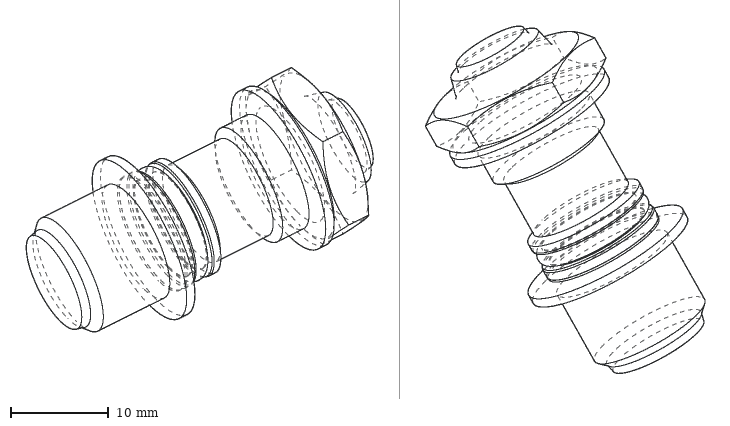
import cadquery as cq
import math

LENGTH = 36.1

BARREL_R = 6.5
FRONT_BARREL_R = 6.45
SHAFT_R = 5.52
TIP_R = 5.3
TIP_END_Y = 0.95
BARREL_START_Y = 1.88
FRONT_BARREL_END_Y = 12.0
COLLAR_CHAMFER_LENGTH = 0.55
FRONT_COLLAR_END_Y = 16.6
REAR_COLLAR_START_Y = 23.0

RING_Y = 14.1
RING_OUTER_R = 6.43
RING_SECTION_R = 0.83
GROOVE_WIDTH = 1.9
GROOVE_LIP = 0.2
GROOVE_LIP_DROP = 0.07

WASHER_R = 9.03
WASHER_HUB_R = 6.57
WASHER_RIM_WIDTH = 1.0
WASHER_HUB_WIDTH = 1.85
FRONT_WASHER_Y = 10.85

NUT_CORNER_WIDTH = 19.68
NUT_HEIGHT = 4.08
NUT_START_Y = 28.55
NUT_FACE_R = 8.4
NUT_CHAMFER_ANGLE = 30.0

REAR_WASHER_Y = NUT_START_Y - WASHER_HUB_WIDTH / 2

NECK_FILLET_R = 0.72
CAP_BASE_R = 5.52
CAP_SHOULDER_R = 5.1
CAP_SHOULDER_Y = 35.15
CROWN_FILLET_R = 0.25
CROWN_BASE_R = 4.1
CROWN_TOP_R = 3.95


def revolve_about_y(profile):
    """Turn a closed outline of (radius, y) points around the Y axis."""
    return profile.close().revolve(360, (0, 0, 0), (0, 1, 0))


def concave_arc(profile, end, radius):
    """Draw a quarter-round hollow inward from a flat face to the point end."""
    end_r, end_y = end
    middle_offset = radius * (1 - math.sqrt(0.5))
    middle = (end_r + middle_offset, end_y - radius + middle_offset)
    return profile.threePointArc(middle, end)


def make_body():
    groove_start = RING_Y - GROOVE_WIDTH / 2
    groove_end = RING_Y + GROOVE_WIDTH / 2
    lip_r = BARREL_R - GROOVE_LIP_DROP
    nut_end = NUT_START_Y + NUT_HEIGHT
    profile = (
        cq.Workplane("XY")
        .moveTo(0, 0)
        .lineTo(TIP_R, 0)
        .lineTo(SHAFT_R, TIP_END_Y)
        .lineTo(FRONT_BARREL_R, BARREL_START_Y)
        .lineTo(FRONT_BARREL_R, FRONT_BARREL_END_Y)
        .lineTo(BARREL_R, FRONT_BARREL_END_Y)
        .lineTo(BARREL_R, groove_start - GROOVE_LIP)
        .lineTo(lip_r, groove_start)
        .lineTo(SHAFT_R, groove_start)
        .lineTo(SHAFT_R, groove_end)
        .lineTo(lip_r, groove_end)
        .lineTo(BARREL_R, groove_end + GROOVE_LIP)
        .lineTo(BARREL_R, FRONT_COLLAR_END_Y - COLLAR_CHAMFER_LENGTH)
        .lineTo(SHAFT_R, FRONT_COLLAR_END_Y)
        .lineTo(SHAFT_R, REAR_COLLAR_START_Y)
        .lineTo(BARREL_R, REAR_COLLAR_START_Y + COLLAR_CHAMFER_LENGTH)
        .lineTo(BARREL_R, NUT_START_Y)
        .lineTo(CAP_BASE_R + NECK_FILLET_R, NUT_START_Y)
        .lineTo(CAP_BASE_R + NECK_FILLET_R, nut_end)
    )
    profile = concave_arc(profile, (CAP_BASE_R, nut_end + NECK_FILLET_R), NECK_FILLET_R)
    profile = (
        profile
        .lineTo(CAP_SHOULDER_R, CAP_SHOULDER_Y)
        .lineTo(CROWN_BASE_R + CROWN_FILLET_R, CAP_SHOULDER_Y)
    )
    profile = concave_arc(profile, (CROWN_BASE_R, CAP_SHOULDER_Y + CROWN_FILLET_R), CROWN_FILLET_R)
    return revolve_about_y(profile.lineTo(CROWN_TOP_R, LENGTH).lineTo(0, LENGTH))


def make_ring():
    """Exposed outer half of the O-ring, seated on the groove floor."""
    section_r = RING_OUTER_R - RING_SECTION_R
    start_y = RING_Y - RING_SECTION_R
    end_y = RING_Y + RING_SECTION_R
    return revolve_about_y(
        cq.Workplane("XY")
        .moveTo(0, start_y)
        .lineTo(section_r, start_y)
        .threePointArc((RING_OUTER_R, RING_Y), (section_r, end_y))
        .lineTo(0, end_y)
    )


def make_washer(middle_y):
    half_rim = WASHER_RIM_WIDTH / 2
    half_hub = WASHER_HUB_WIDTH / 2
    return revolve_about_y(
        cq.Workplane("XY")
        .moveTo(0, middle_y - half_hub)
        .lineTo(WASHER_HUB_R, middle_y - half_hub)
        .lineTo(WASHER_R, middle_y - half_rim)
        .lineTo(WASHER_R, middle_y + half_rim)
        .lineTo(WASHER_HUB_R, middle_y + half_hub)
        .lineTo(0, middle_y + half_hub)
    )


def make_nut():
    """Hexagonal prism trimmed by a cone at both ends."""
    end_y = NUT_START_Y + NUT_HEIGHT
    corner_r = NUT_CORNER_WIDTH / 2
    chamfer_drop = (corner_r - NUT_FACE_R) * math.tan(math.radians(NUT_CHAMFER_ANGLE))
    prism = (
        cq.Workplane("XZ", origin=(0, NUT_START_Y, 0))
        .polygon(6, NUT_CORNER_WIDTH)
        .extrude(-NUT_HEIGHT)
    )
    envelope = revolve_about_y(
        cq.Workplane("XY")
        .moveTo(0, NUT_START_Y)
        .lineTo(NUT_FACE_R, NUT_START_Y)
        .lineTo(corner_r, NUT_START_Y + chamfer_drop)
        .lineTo(corner_r, end_y - chamfer_drop)
        .lineTo(NUT_FACE_R, end_y)
        .lineTo(0, end_y)
    )
    return prism.intersect(envelope)


result = (
    make_body()
    .union(make_ring())
    .union(make_washer(FRONT_WASHER_Y))
    .union(make_washer(REAR_WASHER_Y))
    .union(make_nut())
)